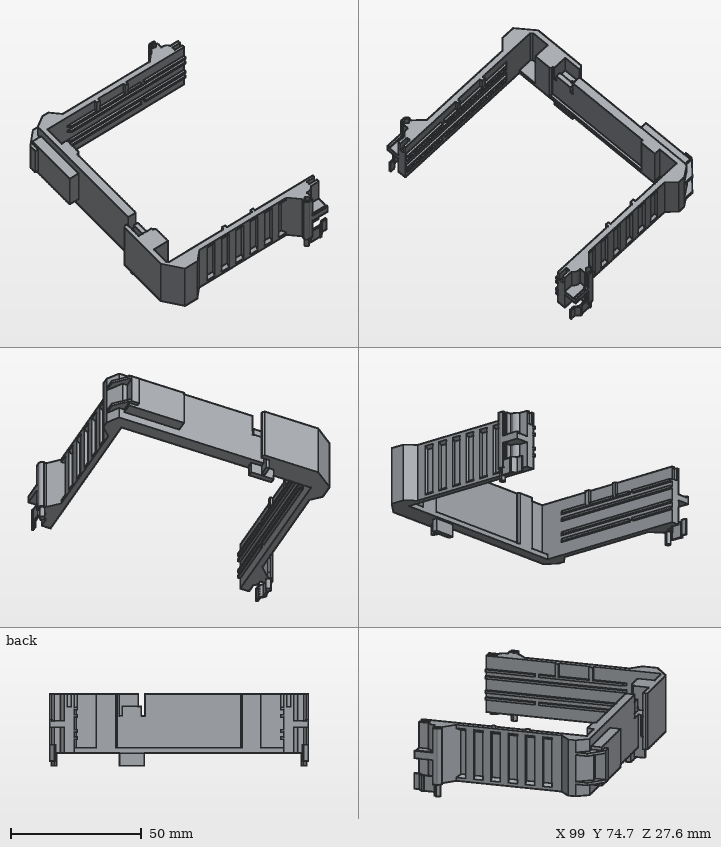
import cadquery as cq
import math

HEIGHT = 22.7
HALF_WIDTH = 49.5
MID_Z = HEIGHT / 2
EPS = 0.5

WALL_IN = 40.1
WALL_OUT = 42.6
CORNER_X = 46.4
REAR_Y = 74.1
BAR_IN_Y = 10.5
CORNER_TOP_Y = 17.1
SLOPE_Y = 59.4

HOLE_X = 47.8
HOLE_Y = 65.1
HOLE_R = 1.04
POST_R = HALF_WIDTH - HOLE_X
TEARDROP_TIP = 1.4
TEARDROP_SIDE = 0.3
POST_STEP = 0.2
POST_BACK_Y = 67.1
LIP_BACK_Y = 66.7
LIP_IN_X = 48.5
COLUMN_X = 43.9
SHOULDER_X = 45.3
SHOULDER_Y = 67.8
SHOULDER_R = 2.8
NECK_X = 48.2
NECK_HALF = 0.4

SLIT_X = (41.2, 42.7)
SLIT_END_Y = 70.4
SLIT_DEPTH = 4.95
SHELF_THICK = 3.0
SHELF_WEB_DROP = 0.5

RAIL_DEPTH = 1.1
RAIL_THICK = 0.9
RAIL_OFFSETS = (-5.6, -2.9, 2.9, 5.6)
RAIL_END_Y = 18.9
RAIL_TAPER = 1.4
RAIL_GAP_Y = (52.7, 54.4)
RIBS_Y = ((44.6, 46.0), (30.8, 32.5))

RECESS_COUNT = 6
RECESS_PITCH = 6.9
RECESS_WIDTH = 3.7
RECESS_DEPTH = 1.4
RECESS_TAPER = 1.1
RECESS_MARGIN = 1.4

BAR_FRONT_Y = 5.6
BLOCK_FRONT_Y = 1.4
FINGER_IN_Y = 3.2
FINGER_TIP_X = 15.5
FINGER_CHAMFER = 0.7
SLOPE_TOP_Y = 10.3
SLOPE_BOTTOM_X = -43.4
RIGHT_SLOPE_X = 38.8
RIGHT_SLOPE_Y = 7.2
SOCKET_X = (13.1, 22.9)
FLOOR_Z = 2.0
STRIP_X = (-23.6, 23.7)
STRIP_Y = 9.3
STRIP_TAPER = 0.6
LEFT_POCKET_X = -31.2
LEFT_POCKET_Y = 7.8
RIGHT_POCKET_X = 31.7
RIGHT_POCKET_Y = 3.7
POCKET_CHAMFER = 0.7

KEY_Y = 7.3
KEY_X = (13.3, 22.8)
KEY_DEPTH = 4.95
KEY_RIB_X = (17.7, 19.0)
KEY_RIB_DEPTH = 4.2
SOCKET_Z = 13.2
SOCKET_STEP_Z = 14.3
TAB_X = (14.4, 21.8)
TAB_Z = 17.8
BARB_ROOT = 1.6
BARB_TIP = 0.8
BARB_INSET = 0.5
BARB_BASE_Z = 4.95

FRONT_BLOCK_X = (-41.2, -17.9)
FRONT_BLOCK_HEIGHT = 15.5
BRACKET_HEIGHT = 12.9
ARM_THICK = 1.1
BRACKET_LIP_X = (-40.6, -37.6)
BRACKET_WEB_Y = 4.3

LEAF_THICK = 0.7
LEAF_TOP_Z = 3.2
LEAF_BOTTOM_Z = -3.1
PIN_BOTTOM_Z = -4.95
LEAF_OUT_X = 49.2
LEAF_END_Y = 66.1
TOOTH_Y = (70.3, 71.1)
LEAF_TIP_X = 47.8
LEAF_BEND_Y = 72.7
LEAF_TIP_Y = 74.7


def box(xs, ys, zs):
    """Axis-aligned box from three (low, high) pairs."""
    size = [high - low for low, high in (xs, ys, zs)]
    return cq.Workplane("XY").box(*size, centered=False).translate((xs[0], ys[0], zs[0]))


def prism(points, z_low, z_high):
    """Vertical prism over a closed polygon."""
    return cq.Workplane("XY").workplane(offset=z_low).polyline(points).close().extrude(z_high - z_low)


def arm_body():
    arc = math.sqrt(0.5) * POST_R
    post_front_y = HOLE_Y - POST_R
    flat_y = post_front_y + POST_STEP
    slope_top_x = WALL_OUT + flat_y - SLOPE_Y
    shoulder_rise = math.sqrt(SHOULDER_R**2 - (SHOULDER_R - SHOULDER_X + COLUMN_X)**2)
    return (
        cq.Workplane("XY")
        .moveTo(WALL_IN, BAR_IN_Y)
        .lineTo(WALL_IN, REAR_Y)
        .lineTo(COLUMN_X, REAR_Y)
        .lineTo(COLUMN_X, SHOULDER_Y + shoulder_rise)
        .radiusArc((SHOULDER_X, SHOULDER_Y), SHOULDER_R)
        .lineTo(SHOULDER_X, POST_BACK_Y)
        .lineTo(LIP_IN_X, POST_BACK_Y)
        .lineTo(LIP_IN_X, LIP_BACK_Y)
        .lineTo(HALF_WIDTH, LIP_BACK_Y)
        .lineTo(HALF_WIDTH, HOLE_Y)
        .threePointArc((HOLE_X + arc, HOLE_Y - arc), (HOLE_X, post_front_y))
        .lineTo(HOLE_X, flat_y)
        .lineTo(slope_top_x, flat_y)
        .lineTo(WALL_OUT, SLOPE_Y)
        .lineTo(WALL_OUT, CORNER_TOP_Y)
        .lineTo(CORNER_X, CORNER_TOP_Y - (CORNER_X - WALL_OUT))
        .lineTo(CORNER_X, BAR_IN_Y)
        .close()
        .extrude(HEIGHT)
    )


def teardrop(z_low, z_high):
    """Round bar with a pointed rear side, on the axis of the post hole."""
    side_x = math.sqrt(HOLE_R**2 - TEARDROP_SIDE**2)
    return (
        cq.Workplane("XY")
        .workplane(offset=z_low)
        .moveTo(HOLE_X, HOLE_Y + TEARDROP_TIP)
        .lineTo(HOLE_X + side_x, HOLE_Y + TEARDROP_SIDE)
        .threePointArc((HOLE_X, HOLE_Y - HOLE_R), (HOLE_X - side_x, HOLE_Y + TEARDROP_SIDE))
        .close()
        .extrude(z_high - z_low)
    )


def latch_hole():
    """Teardrop hole with a narrow neck that opens through the back of the post."""
    neck = box((NECK_X - NECK_HALF, NECK_X + NECK_HALF), (HOLE_Y, POST_BACK_Y + EPS), (0, HEIGHT))
    return teardrop(0, HEIGHT).union(neck)


def shelf():
    """Shelf behind the post: a thinner web with a full-height lip along its outer edge."""
    z_low = MID_Z - SHELF_THICK / 2
    z_high = MID_Z + SHELF_THICK / 2
    lip = box((LIP_IN_X, HALF_WIDTH), (LIP_BACK_Y, REAR_Y), (z_low, z_high))
    web = box((COLUMN_X, LIP_IN_X), (POST_BACK_Y, REAR_Y), (z_low, z_high - SHELF_WEB_DROP))
    return lip.union(web)


def rails():
    """Four guide rails; the outermost two are interrupted, and ribs rise from the top one."""
    tip_x = WALL_IN - RAIL_DEPTH
    outline = [
        (WALL_IN, REAR_Y), (tip_x, REAR_Y), (tip_x, RAIL_END_Y), (WALL_IN, RAIL_END_Y - RAIL_TAPER),
    ]
    solids = cq.Workplane("XY")
    for offset in RAIL_OFFSETS:
        z_low = MID_Z + offset - RAIL_THICK / 2
        rail = prism(outline, z_low, z_low + RAIL_THICK)
        if abs(offset) == max(RAIL_OFFSETS):
            rail = rail.cut(box((tip_x, WALL_IN), RAIL_GAP_Y, (z_low, z_low + RAIL_THICK)))
        solids = solids.add(rail)
    rib_base = MID_Z + max(RAIL_OFFSETS)
    for rib_y in RIBS_Y:
        solids = solids.add(box((tip_x, WALL_IN), rib_y, (rib_base, HEIGHT)))
    return solids


def recesses():
    """Row of outer recesses with sloping ends; the post slope bounds the first one."""
    floor_x = WALL_OUT - RECESS_DEPTH
    section = [
        (WALL_OUT, RECESS_MARGIN),
        (floor_x, RECESS_MARGIN + RECESS_TAPER),
        (floor_x, HEIGHT - RECESS_MARGIN - RECESS_TAPER),
        (WALL_OUT, HEIGHT - RECESS_MARGIN),
    ]
    one = cq.Workplane("XZ").polyline(section).close().extrude(RECESS_WIDTH)
    keep = prism(
        [(WALL_OUT, SLOPE_Y), (floor_x, SLOPE_Y - RECESS_DEPTH), (floor_x, 0), (WALL_OUT, 0)], 0, HEIGHT
    )
    solids = cq.Workplane("XY")
    for index in range(RECESS_COUNT):
        recess = one.translate((0, SLOPE_Y - index * RECESS_PITCH, 0))
        solids = solids.add(recess.intersect(keep))
    return solids


def side_arm():
    arm = arm_body().union(shelf())
    for rail in rails().vals():
        arm = arm.union(cq.Workplane(rail))
    for recess in recesses().vals():
        arm = arm.cut(cq.Workplane(recess))
    slit = box(SLIT_X, (SLIT_END_Y, REAR_Y + EPS), (HEIGHT - SLIT_DEPTH, HEIGHT))
    return arm.cut(latch_hole()).cut(slit)


def bar_body():
    outline = [
        (-CORNER_X, BAR_IN_Y),
        (-CORNER_X, SLOPE_TOP_Y),
        (SLOPE_BOTTOM_X, BAR_FRONT_Y),
        (SOCKET_X[1], BAR_FRONT_Y),
        (SOCKET_X[1], FINGER_IN_Y),
        (FINGER_TIP_X, FINGER_IN_Y),
        (FINGER_TIP_X, BLOCK_FRONT_Y + FINGER_CHAMFER),
        (FINGER_TIP_X + FINGER_CHAMFER, BLOCK_FRONT_Y),
        (RIGHT_SLOPE_X, BLOCK_FRONT_Y),
        (CORNER_X, RIGHT_SLOPE_Y),
        (CORNER_X, BAR_IN_Y),
    ]
    return prism(outline, 0, HEIGHT)


def rear_recesses():
    """Pockets in both corners and the long recess between them, all open to the top and rear."""
    left = box((-WALL_IN, LEFT_POCKET_X), (LEFT_POCKET_Y, BAR_IN_Y), (FLOOR_Z, HEIGHT))
    right = prism(
        [
            (RIGHT_POCKET_X, BAR_IN_Y),
            (RIGHT_POCKET_X, RIGHT_POCKET_Y),
            (WALL_IN - POCKET_CHAMFER, RIGHT_POCKET_Y),
            (WALL_IN, RIGHT_POCKET_Y + POCKET_CHAMFER),
            (WALL_IN, BAR_IN_Y),
        ],
        FLOOR_Z, HEIGHT,
    )
    strip = prism(
        [
            (STRIP_X[0] - STRIP_TAPER, BAR_IN_Y),
            (STRIP_X[0], BAR_IN_Y - STRIP_TAPER),
            (STRIP_X[0], STRIP_Y),
            (STRIP_X[1], STRIP_Y),
            (STRIP_X[1], BAR_IN_Y - STRIP_TAPER),
            (STRIP_X[1] + STRIP_TAPER, BAR_IN_Y),
        ],
        FLOOR_Z, HEIGHT,
    )
    return left.union(right).union(strip)


def socket():
    """Stepped socket in the top of the bar with a tab standing in its rear half."""
    front = box(SOCKET_X, (BAR_FRONT_Y, KEY_Y), (SOCKET_Z, HEIGHT))
    rear = box(SOCKET_X, (KEY_Y, STRIP_Y), (SOCKET_STEP_Z, HEIGHT))
    tab = box(TAB_X, (KEY_Y, STRIP_Y), (SOCKET_STEP_Z, TAB_Z))
    return front.union(rear).cut(tab)


def finger_web():
    """Web that joins the finger to the bar below the socket, with a sloping barb on the finger."""
    web_x = KEY_RIB_X[0]
    web = box((web_x, SOCKET_X[1]), (FINGER_IN_Y, BAR_FRONT_Y), (0, SOCKET_Z))
    barb = prism(
        [
            (web_x, FINGER_IN_Y),
            (web_x, FINGER_IN_Y + BARB_ROOT),
            (FINGER_TIP_X + BARB_INSET, FINGER_IN_Y + BARB_TIP),
            (FINGER_TIP_X, FINGER_IN_Y),
        ],
        BARB_BASE_Z, SOCKET_Z,
    )
    return web.union(barb)


def stacking_key():
    wide = box(KEY_X, (KEY_Y, STRIP_Y), (-KEY_DEPTH, EPS))
    rib = box(KEY_RIB_X, (FINGER_IN_Y, KEY_Y), (-KEY_RIB_DEPTH, EPS))
    return wide.union(rib)


def bracket():
    """Raised block at the left, with two arms that wrap the corner and a lip between them."""
    block_z = (MID_Z - FRONT_BLOCK_HEIGHT / 2, MID_Z + FRONT_BLOCK_HEIGHT / 2)
    low_z = MID_Z - BRACKET_HEIGHT / 2
    high_z = MID_Z + BRACKET_HEIGHT / 2
    inner_z = (low_z + ARM_THICK, high_z - ARM_THICK)
    arm_outline = [
        (-CORNER_X, SLOPE_TOP_Y),
        (-CORNER_X, BAR_FRONT_Y),
        (-CORNER_X + BAR_FRONT_Y, 0),
        (BRACKET_LIP_X[1], 0),
        (BRACKET_LIP_X[1], BAR_FRONT_Y),
        (SLOPE_BOTTOM_X, BAR_FRONT_Y),
    ]
    slope_rate = (SLOPE_BOTTOM_X + CORNER_X) / (SLOPE_TOP_Y - BAR_FRONT_Y)
    web_x = -CORNER_X + slope_rate * (SLOPE_TOP_Y - BRACKET_WEB_Y)
    web_outline = [
        (SLOPE_BOTTOM_X, BAR_FRONT_Y),
        (web_x, BRACKET_WEB_Y),
        (BRACKET_LIP_X[1], BRACKET_WEB_Y),
        (BRACKET_LIP_X[1], BAR_FRONT_Y),
    ]
    gap = box((-CORNER_X, BRACKET_LIP_X[0]), (0, BRACKET_WEB_Y), inner_z)
    block = box(FRONT_BLOCK_X, (BLOCK_FRONT_Y, BAR_FRONT_Y), block_z).cut(gap)
    lip = box(BRACKET_LIP_X, (0, BRACKET_WEB_Y), (low_z, high_z))
    return (
        block.union(lip)
        .union(prism(web_outline, *inner_z))
        .union(prism(arm_outline, low_z, inner_z[0]))
        .union(prism(arm_outline, inner_z[1], high_z))
    )


def front_bar():
    bar = bar_body().cut(rear_recesses()).cut(socket())
    return bar.union(finger_web()).union(stacking_key()).union(bracket())


def latch():
    """Pin that sits in the post hole, joined below the frame to a cranked spring leaf."""
    leaf_in_x = LEAF_OUT_X - LEAF_THICK
    leaf = prism(
        [
            (leaf_in_x, LIP_BACK_Y),
            (LEAF_OUT_X, LIP_BACK_Y),
            (LEAF_OUT_X, TOOTH_Y[0]),
            (HALF_WIDTH, TOOTH_Y[0]),
            (HALF_WIDTH, TOOTH_Y[1]),
            (LEAF_TIP_X, LEAF_BEND_Y),
            (LEAF_TIP_X, LEAF_TIP_Y),
            (LEAF_TIP_X - LEAF_THICK, LEAF_TIP_Y),
            (LEAF_TIP_X - LEAF_THICK, LEAF_BEND_Y),
            (leaf_in_x, TOOTH_Y[1]),
        ],
        LEAF_BOTTOM_Z, LEAF_TOP_Z,
    )
    link = box((HOLE_X, LEAF_OUT_X), (LEAF_END_Y, LIP_BACK_Y), (LEAF_BOTTOM_Z, 0))
    pin = teardrop(PIN_BOTTOM_Z, LEAF_TOP_Z)
    return pin.union(link).union(leaf)


right_arm = side_arm()
frame = front_bar().union(right_arm).union(right_arm.mirror("YZ"))
right_latch = latch()
latches = [right_latch, right_latch.mirror("YZ")]

result = cq.Compound.makeCompound([frame.val(), *[body.val() for body in latches]])